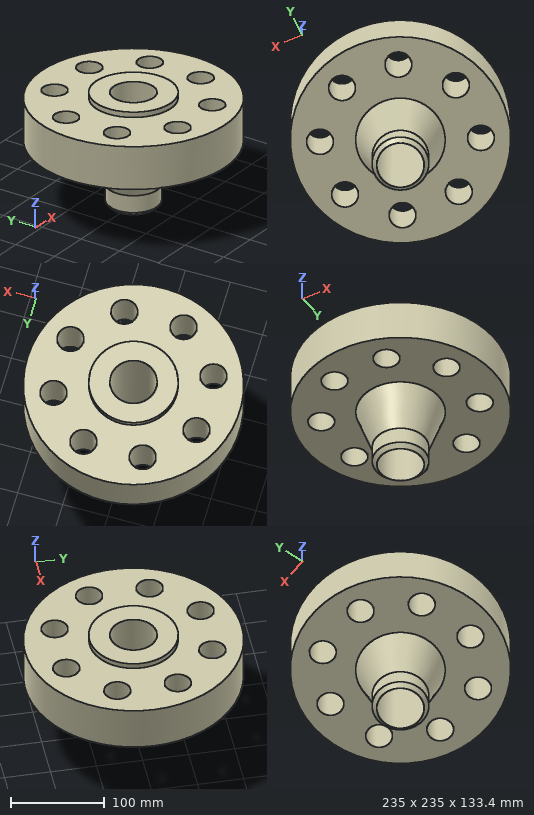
import cadquery as cq

flange_diameter = 235.0
flange_thickness = 51.0
face_diameter = 95.5
face_height = 6.3
hub_diameter = 95.5
hub_height = 51.0
neck_diameter = 60.4
neck_height = 25.1
weld_bevel = 5.0
bore_diameter = 50.3

bolt_count = 8
bolt_hole_diameter = 28.5
bolt_circle_diameter = 171.5
first_bolt_angle = 360 / bolt_count / 2

hub_bottom = neck_height
flange_bottom = hub_bottom + hub_height
flange_top = flange_bottom + flange_thickness
face_top = flange_top + face_height


def revolved_body():
    """Solid of revolution with the bore already left open."""
    bore_radius = bore_diameter / 2
    neck_radius = neck_diameter / 2
    profile = [
        (bore_radius, 0),
        (neck_radius - weld_bevel, 0),
        (neck_radius, weld_bevel),
        (neck_radius, hub_bottom),
        (hub_diameter / 2, flange_bottom),
        (flange_diameter / 2, flange_bottom),
        (flange_diameter / 2, flange_top),
        (face_diameter / 2, flange_top),
        (face_diameter / 2, face_top),
        (bore_radius, face_top),
    ]
    return cq.Workplane("XZ").polyline(profile).close().revolve(360, (0, 0), (0, 1))


def bolt_holes():
    """Cylinders that cut the bolt holes through the flange."""
    return (
        cq.Workplane("XY")
        .workplane(offset=flange_bottom)
        .polarArray(bolt_circle_diameter / 2, first_bolt_angle, 360, bolt_count)
        .circle(bolt_hole_diameter / 2)
        .extrude(flange_thickness)
    )


result = revolved_body().cut(bolt_holes())